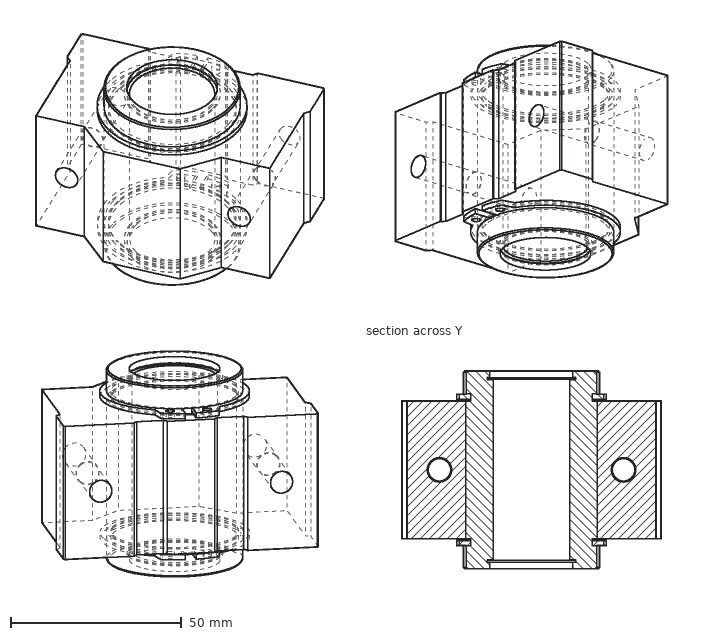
import cadquery as cq
import math

WIDTH = 76.0
HOUSING_HALF_HEIGHT = 20.2
BACK_Y = 26.0
FRONT_Y = -25.5
SHOULDER_Y = -16.1
BODY_HALF_WIDTH = 36.55
FLANGE_STEP_Y = 13.9
BACK_CORNER_CHAMFER = 0.45
NOSE_HALF_WIDTH = 12.0
NOSE_BASE_HALF_WIDTH = NOSE_HALF_WIDTH + SHOULDER_Y - FRONT_Y

SLOT_CENTER_X = 12.0
SLOT_FLOOR_WIDTH = 7.9
SLOT_DEPTH = 1.3
SLOT_STRAIGHT_DEPTH = 0.3
SLOT_MOUTH_WIDTH = SLOT_FLOOR_WIDTH + 2 * (SLOT_DEPTH - SLOT_STRAIGHT_DEPTH)

MOUNT_HOLE_X = 27.0
MOUNT_FRONT_DIAMETER = 7.0
MOUNT_BACK_DIAMETER = 6.6
MOUNT_FRONT_DEPTH = 21.05

BEARING_DIAMETER = 40.0
BEARING_HALF_LENGTH = 28.995
BEARING_CHAMFER = 0.45
BORE_DIAMETER = 25.0
LIP_DIAMETER = 26.6
LIP_HEIGHT = 2.0
UNDERCUT_DIAMETER = 28.2
LEDGE_DEPTH = 2.5

CLIP_GROOVE_DIAMETER = 37.5
CLIP_OUTER_RADIUS = 22.0
CLIP_THICKNESS = 1.5
CLIP_GAP_FROM_HOUSING = 0.45
CLIP_BOTTOM_Z = HOUSING_HALF_HEIGHT + CLIP_GAP_FROM_HOUSING
CLIP_TOP_Z = CLIP_BOTTOM_Z + CLIP_THICKNESS
LUG_OUTER_RADIUS = 25.5
LUG_BASE_HALF_WIDTH = 9.6
LUG_TIP_HALF_WIDTH = 8.7
LUG_CORNER_RADIUS = 0.6
CLIP_OPENING = 3.2
CLIP_HOLE_DIAMETER = 2.5
CLIP_HOLE_X = 5.5
CLIP_HOLE_Y = 21.9


def cylinder(diameter, bottom_z, top_z):
    return cq.Workplane("XY", origin=(0, 0, bottom_z)).circle(diameter / 2).extrude(top_z - bottom_z)


def make_housing():
    flange_half = WIDTH / 2
    step_bottom_y = FLANGE_STEP_Y - (flange_half - BODY_HALF_WIDTH)
    corner_x = flange_half - BACK_CORNER_CHAMFER
    corner_y = BACK_Y - BACK_CORNER_CHAMFER
    right_side = [
        (NOSE_HALF_WIDTH, FRONT_Y),
        (NOSE_BASE_HALF_WIDTH, SHOULDER_Y),
        (BODY_HALF_WIDTH, SHOULDER_Y),
        (BODY_HALF_WIDTH, step_bottom_y),
        (flange_half, FLANGE_STEP_Y),
        (flange_half, corner_y),
        (corner_x, BACK_Y),
    ]
    left_side = [(-x, y) for x, y in reversed(right_side)]
    height = 2 * HOUSING_HALF_HEIGHT
    base = cq.Workplane("XY", origin=(0, 0, -HOUSING_HALF_HEIGHT))
    housing = base.polyline(right_side + left_side).close().extrude(height)
    housing = housing.cut(cylinder(BEARING_DIAMETER, -HOUSING_HALF_HEIGHT, HOUSING_HALF_HEIGHT))

    for side in (-1, 1):
        center_x = side * SLOT_CENTER_X
        mouth_y = BACK_Y - SLOT_STRAIGHT_DEPTH
        floor_y = BACK_Y - SLOT_DEPTH
        slot_outline = [
            (center_x - SLOT_MOUTH_WIDTH / 2, BACK_Y),
            (center_x - SLOT_MOUTH_WIDTH / 2, mouth_y),
            (center_x - SLOT_FLOOR_WIDTH / 2, floor_y),
            (center_x + SLOT_FLOOR_WIDTH / 2, floor_y),
            (center_x + SLOT_MOUTH_WIDTH / 2, mouth_y),
            (center_x + SLOT_MOUTH_WIDTH / 2, BACK_Y),
        ]
        housing = housing.cut(base.polyline(slot_outline).close().extrude(height))

        hole_plane = cq.Workplane("XZ", origin=(side * MOUNT_HOLE_X, SHOULDER_Y, 0))
        through_length = BACK_Y - SHOULDER_Y
        housing = housing.cut(hole_plane.circle(MOUNT_BACK_DIAMETER / 2).extrude(-through_length))
        housing = housing.cut(hole_plane.circle(MOUNT_FRONT_DIAMETER / 2).extrude(-MOUNT_FRONT_DEPTH))
    return housing


def make_bearing():
    bearing = cylinder(BEARING_DIAMETER, -BEARING_HALF_LENGTH, BEARING_HALF_LENGTH)
    bearing = bearing.edges().chamfer(BEARING_CHAMFER)
    bearing = bearing.cut(cylinder(BORE_DIAMETER, -BEARING_HALF_LENGTH, BEARING_HALF_LENGTH))

    ledge_z = BEARING_HALF_LENGTH - LEDGE_DEPTH
    lip_bottom_z = BEARING_HALF_LENGTH - LIP_HEIGHT
    mouth = cylinder(LIP_DIAMETER, ledge_z, BEARING_HALF_LENGTH)
    undercut = cylinder(UNDERCUT_DIAMETER, ledge_z, lip_bottom_z)
    groove = cylinder(BEARING_DIAMETER, HOUSING_HALF_HEIGHT, CLIP_TOP_Z).cut(
        cylinder(CLIP_GROOVE_DIAMETER, HOUSING_HALF_HEIGHT, CLIP_TOP_Z)
    )
    for feature in (mouth, undercut, groove):
        bearing = bearing.cut(feature).cut(feature.mirror("XY"))
    return bearing


def make_clip(bottom_z):
    plane = cq.Workplane("XY", origin=(0, 0, bottom_z))
    ring = plane.circle(CLIP_OUTER_RADIUS).extrude(CLIP_THICKNESS)
    lug_base_y = math.sqrt(CLIP_OUTER_RADIUS**2 - LUG_BASE_HALF_WIDTH**2)
    lug_tip_y = math.sqrt(LUG_OUTER_RADIUS**2 - LUG_TIP_HALF_WIDTH**2)
    lugs = (
        plane.moveTo(0, 0)
        .lineTo(LUG_BASE_HALF_WIDTH, lug_base_y)
        .lineTo(LUG_TIP_HALF_WIDTH, lug_tip_y)
        .threePointArc((0, LUG_OUTER_RADIUS), (-LUG_TIP_HALF_WIDTH, lug_tip_y))
        .lineTo(-LUG_BASE_HALF_WIDTH, lug_base_y)
        .close()
        .extrude(CLIP_THICKNESS)
    )
    lug_region = cq.selectors.BoxSelector(
        (-LUG_OUTER_RADIUS, lug_base_y / 2, bottom_z - CLIP_THICKNESS),
        (LUG_OUTER_RADIUS, LUG_OUTER_RADIUS, bottom_z + 2 * CLIP_THICKNESS),
    )
    blank = ring.union(lugs).edges("|Z").edges(lug_region).fillet(LUG_CORNER_RADIUS)

    inside = plane.circle(CLIP_GROOVE_DIAMETER / 2).extrude(CLIP_THICKNESS)
    opening = (
        plane.center(0, LUG_OUTER_RADIUS / 2)
        .rect(CLIP_OPENING, LUG_OUTER_RADIUS)
        .extrude(CLIP_THICKNESS)
    )
    plier_holes = (
        plane.pushPoints([(-CLIP_HOLE_X, CLIP_HOLE_Y), (CLIP_HOLE_X, CLIP_HOLE_Y)])
        .circle(CLIP_HOLE_DIAMETER / 2)
        .extrude(CLIP_THICKNESS)
    )
    return blank.cut(inside).cut(opening).cut(plier_holes)


housing = make_housing()
bearing = make_bearing()
clips = [make_clip(bottom_z) for bottom_z in (-CLIP_TOP_Z, CLIP_BOTTOM_Z)]

result = cq.Compound.makeCompound([housing.val(), bearing.val(), *[clip.val() for clip in clips]])